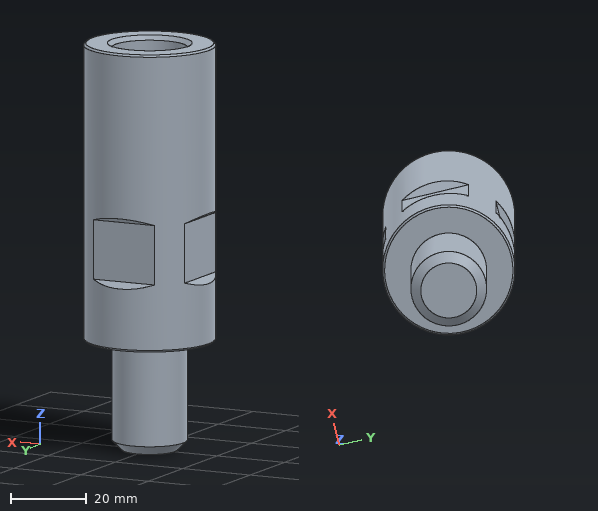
import cadquery as cq
import math

total_length = 109.5
body_diameter = 35.0
body_edge_chamfer = 0.5

shank_diameter = 20.0
shank_length = 29.5
shank_tip_chamfer = 2.6

bore_diameter = shank_diameter
bore_depth = 30.0
bore_mouth_diameter = 22.5

across_flats = 30.0
flat_bottom = 47.6
flat_length = 16.0
flat_end_slope = 30.0
flat_count = 4

body_length = total_length - shank_length


def make_body():
    return (
        cq.Workplane("XY")
        .workplane(offset=shank_length)
        .circle(body_diameter / 2)
        .extrude(body_length)
        .edges()
        .chamfer(body_edge_chamfer)
    )


def make_shank():
    return (
        cq.Workplane("XY")
        .circle(shank_diameter / 2)
        .extrude(shank_length)
        .faces("<Z")
        .chamfer(shank_tip_chamfer)
    )


def make_bore():
    """Bore with a 45 degree countersunk mouth, revolved about Z."""
    bore_radius = bore_diameter / 2
    mouth_radius = bore_mouth_diameter / 2
    countersink_depth = mouth_radius - bore_radius
    bore_floor = total_length - bore_depth
    return (
        cq.Workplane("XZ")
        .moveTo(0, bore_floor)
        .lineTo(bore_radius, bore_floor)
        .lineTo(bore_radius, total_length - countersink_depth)
        .lineTo(mouth_radius, total_length)
        .lineTo(0, total_length)
        .close()
        .revolve(360, (0, 0, 0), (0, 1, 0))
    )


def make_flat_cutter():
    """Trapezoidal prism that cuts the flat on the +X side."""
    inner = across_flats / 2
    outer = body_diameter / 2
    flat_top = flat_bottom + flat_length
    end_rise = (outer - inner) * math.tan(math.radians(flat_end_slope))
    return (
        cq.Workplane("XZ")
        .moveTo(inner, flat_bottom)
        .lineTo(outer, flat_bottom - end_rise)
        .lineTo(outer, flat_top + end_rise)
        .lineTo(inner, flat_top)
        .close()
        .extrude(body_diameter / 2, both=True)
    )


result = make_body().union(make_shank()).cut(make_bore())
for index in range(flat_count):
    angle = index * 360 / flat_count
    result = result.cut(make_flat_cutter().rotate((0, 0, 0), (0, 0, 1), angle))